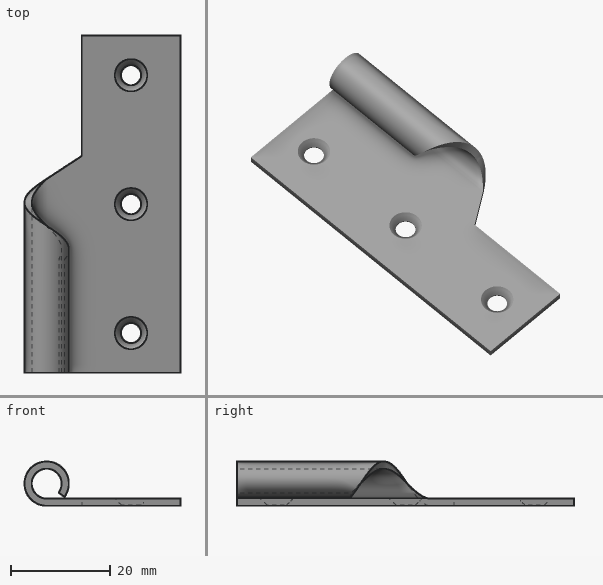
import cadquery as cq
import math

length = 68.0
thickness = 1.5
curl_radius = 4.5
bore_radius = curl_radius - thickness
leaf_right = 31.5 - curl_radius
leaf_bottom = -curl_radius

narrow_left = 7.1
slant_top = 43.7
curl_top = 39.1
spiral_pitch = 18.9

curl_angle = 307.0
segment_count = 2
segment_angle = curl_angle / segment_count
segment_drop = spiral_pitch * segment_angle / 360

hole_diameter = 4.0
sink_diameter = 6.5
sink_angle = 90.0
hole_x = 17.0
hole_spacing = 26.0
hole_middle_y = length / 2


def curl_point(radius, angle):
    turn = math.radians(angle)
    return (-radius * math.sin(turn), -radius * math.cos(turn))


def ring_sector(y, inner, outer, start, sweep):
    """Sketch a sector of a ring across the curl axis at the given Y."""
    middle = start + sweep / 2
    end = start + sweep
    return (
        cq.Workplane("XZ", origin=(0, y, 0))
        .moveTo(*curl_point(inner, start))
        .lineTo(*curl_point(outer, start))
        .threePointArc(curl_point(outer, middle), curl_point(outer, end))
        .lineTo(*curl_point(inner, end))
        .threePointArc(curl_point(inner, middle), curl_point(inner, start))
        .close()
    )


def curl_segment(index):
    """Make one segment of the curl with its upper end cut along the spiral."""
    start = index * segment_angle
    top = curl_top - index * segment_drop
    segment = ring_sector(top, bore_radius, curl_radius, start, segment_angle).extrude(top)
    cutter = ring_sector(
        top, bore_radius - thickness / 2, curl_radius + thickness / 2, start, segment_angle
    ).twistExtrude(segment_drop, -segment_angle)
    return segment.cut(cutter)


def make_leaf():
    outline = [
        (0, 0),
        (leaf_right, 0),
        (leaf_right, length),
        (narrow_left, length),
        (narrow_left, slant_top),
        (0, curl_top),
    ]
    return (
        cq.Workplane("XY", origin=(0, 0, leaf_bottom))
        .polyline(outline)
        .close()
        .extrude(thickness)
    )


def add_screw_holes(body):
    centers = [(hole_x, hole_middle_y + step * hole_spacing) for step in (-1, 0, 1)]
    return (
        cq.Workplane("XY", origin=(0, 0, leaf_bottom + thickness))
        .add(body)
        .pushPoints(centers)
        .cskHole(hole_diameter, sink_diameter, sink_angle)
    )


body = make_leaf()
for index in range(segment_count):
    body = body.union(curl_segment(index))
result = add_screw_holes(body.clean())